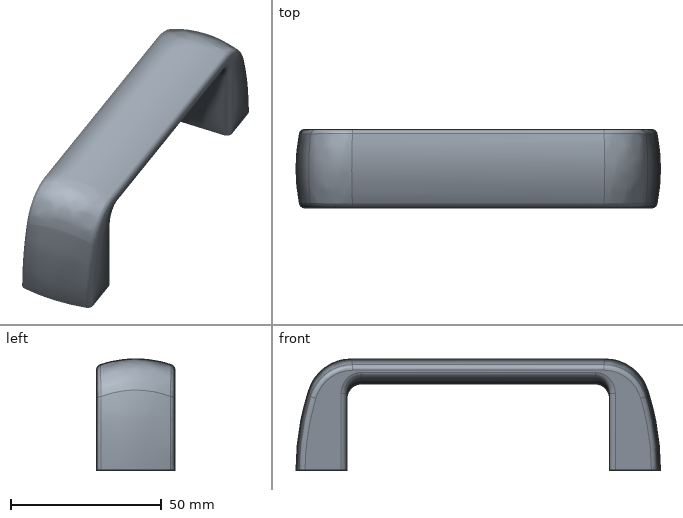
import cadquery as cq
import math

length = 120.8
width = 26.0
height = 37.0
leg_thickness = 16.9
grip_thickness = 8.3
top_crown_radius = 36.2
underside_crown_radius = 35.0
leg_side_radius = 85.7
leg_crown_radius = 58.0
shoulder_radius = 15.0
inner_corner_radius = 4.7
edge_radius = 1.9
barrel_overlap = 1.2

opening_length = length - 2 * leg_thickness
opening_height = height - grip_thickness


def crown_drop(radius):
    """Height lost between the crest of a crown and the sides of the handle."""
    half_width = width / 2
    return radius - math.sqrt(radius**2 - half_width**2)


def crowned_bar():
    """Full-length bar with a top face arched across the width."""
    side_height = height - crown_drop(top_crown_radius)
    return (
        cq.Workplane("YZ")
        .moveTo(-width / 2, 0)
        .lineTo(-width / 2, side_height)
        .threePointArc((0, height), (width / 2, side_height))
        .lineTo(width / 2, 0)
        .close()
        .extrude(length / 2, both=True)
    )


def end_envelope(side):
    """Barrel whose outer wall is the doubly bowed face of one leg (side is -1 or 1)."""
    def wall_radius(z):
        inset = leg_side_radius - math.sqrt(leg_side_radius**2 - z**2)
        return leg_crown_radius - inset

    barrel_height = height + barrel_overlap
    axis_x = side * (length / 2 - leg_crown_radius)
    barrel = (
        cq.Workplane("XZ")
        .lineTo(leg_crown_radius, 0)
        .threePointArc(
            (wall_radius(barrel_height / 2), barrel_height / 2),
            (wall_radius(barrel_height), barrel_height),
        )
        .lineTo(0, barrel_height)
        .close()
        .revolve(360, (0, 0, 0), (0, 1, 0))
        .translate((axis_x, 0, 0))
    )
    inward_block = (
        cq.Workplane("XY")
        .box(length, width, barrel_height, centered=(True, True, False))
        .translate((axis_x - side * length / 2, 0, 0))
    )
    return barrel.union(inward_block)


def hand_opening():
    """Opening below the grip, hollowed to leave the grip underside bulging down."""
    side_height = opening_height + crown_drop(underside_crown_radius)
    return (
        cq.Workplane("YZ")
        .moveTo(-width / 2, 0)
        .lineTo(-width / 2, side_height)
        .threePointArc((0, opening_height), (width / 2, side_height))
        .lineTo(width / 2, 0)
        .close()
        .extrude(opening_length / 2, both=True)
        .faces("<X or >X")
        .edges("%CIRCLE")
        .fillet(inner_corner_radius)
    )


body = crowned_bar()
for end in (-1, 1):
    body = body.intersect(end_envelope(end))

body = body.edges(
    cq.selectors.BoxSelector(
        (-length, -width / 4, height / 2), (length, width / 4, 2 * height)
    )
).fillet(shoulder_radius)

body = body.cut(hand_opening())

foot_edges = body.faces("<Z").edges().vals()
side_edges = body.faces("<Y or >Y").edges()
long_edges = [
    edge for edge in side_edges.vals()
    if not any(edge.isSame(foot) for foot in foot_edges)
]
result = body.newObject(long_edges).fillet(edge_radius)